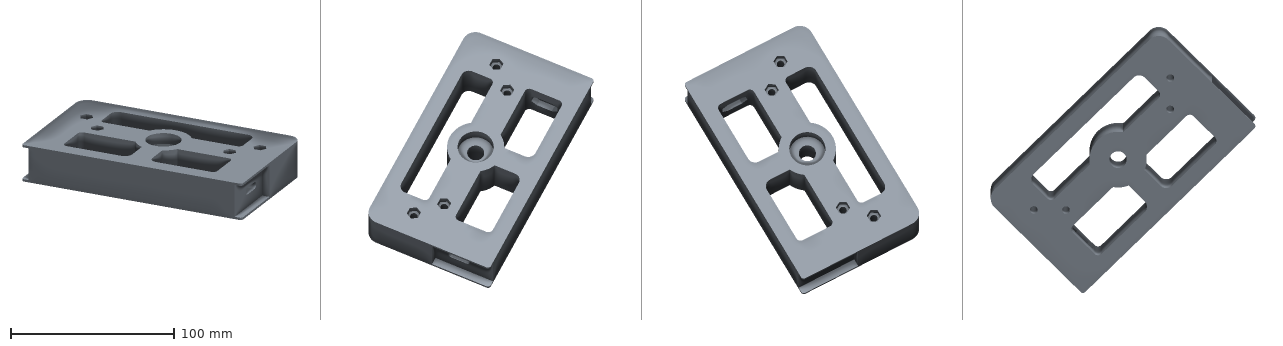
import cadquery as cq
import math

length = 150.0
depth = 85.0
height = 24.0
front_y = -45.0
back_y = front_y + depth
back_corner_radius = 8.1
front_corner_radius = 2.0

hub_radius = 17.5
bearing_radius = 11.1
bearing_depth = 7.0
shaft_radius = 5.2

crossbar_half_width = 10.0
rib_half_width = 6.9
back_window_half_length = 48.0
back_window_end_y = 30.0
front_window_end_x = 52.0
front_window_end_y = -35.0
large_window_radius = 5.0
small_window_radius = 3.0

nut_positions = [(45.0, 0.0), (59.0, 14.0)]
nut_across_corners = 8.7
nut_depth = 4.0
screw_diameter = 4.6

recess_depth = 5.0
recess_length = 39.0
flange_thickness = 1.5
slot_length = 14.5
slot_height = 4.5
slot_y = front_y + 23.1
slot_travel = slot_length - slot_height
nut_pocket_depth = nut_depth


def block(x_start, x_end, y_start, y_end, z_start=0.0, z_end=height):
    """Box given by its limits along each axis."""
    size = (x_end - x_start, y_end - y_start, z_end - z_start)
    return cq.Workplane("XY").box(*size, centered=False).translate((x_start, y_start, z_start))


def both_sides(shape):
    """The shape together with its mirror image about X = 0."""
    return shape.union(shape.mirror("YZ"))


def make_body():
    body = block(-length / 2, length / 2, front_y, back_y)
    body = body.edges("|Z and >Y").fillet(back_corner_radius)
    return body.edges("|Z and <Y").fillet(front_corner_radius)


def make_windows():
    back = block(-back_window_half_length, back_window_half_length, crossbar_half_width, back_window_end_y)
    back = back.edges("|Z and >Y").fillet(large_window_radius)
    back = back.edges("|Z and <Y").fillet(small_window_radius)

    front = block(rib_half_width, front_window_end_x, front_window_end_y, -crossbar_half_width)
    front = front.edges("|Z and >X").fillet(small_window_radius)
    front = front.edges("|Z and <X and <Y").fillet(large_window_radius)

    hub = cq.Workplane("XY").circle(hub_radius).extrude(height)
    return back.union(both_sides(front)).cut(hub)


def make_bearing_seat():
    shaft = cq.Workplane("XY").circle(shaft_radius).extrude(height)
    seat = cq.Workplane("XY", origin=(0, 0, height)).circle(bearing_radius).extrude(-bearing_depth)
    return shaft.union(seat)


def make_nut_traps():
    screws = cq.Workplane("XY").pushPoints(nut_positions).circle(screw_diameter / 2).extrude(height)
    top = cq.Workplane("XY", origin=(0, 0, height))
    nuts = top.pushPoints(nut_positions).polygon(6, nut_across_corners).extrude(-nut_depth)
    return both_sides(screws.union(nuts))


def make_sliding_nut_pockets():
    """Hexagon swept along the slot, sunk into the outer wall of each front window."""
    corner_z = nut_across_corners / 2
    flat_y = slot_travel / 2 + corner_z * math.cos(math.pi / 6)
    flat_z = corner_z / 2
    pocket = (
        cq.Workplane("YZ", origin=(front_window_end_x, slot_y, height / 2))
        .moveTo(-flat_y, -flat_z)
        .lineTo(-slot_travel / 2, -corner_z)
        .lineTo(slot_travel / 2, -corner_z)
        .lineTo(flat_y, -flat_z)
        .lineTo(flat_y, flat_z)
        .lineTo(slot_travel / 2, corner_z)
        .lineTo(-slot_travel / 2, corner_z)
        .lineTo(-flat_y, flat_z)
        .close()
        .extrude(nut_pocket_depth)
    )
    return both_sides(pocket)


def make_side_recesses():
    floor_x = length / 2 - recess_depth
    recess = block(
        floor_x, length / 2, front_y, front_y + recess_length, flange_thickness, height - flange_thickness
    )
    slot_plane = cq.Workplane("YZ", origin=(front_window_end_x, slot_y, height / 2))
    slot = slot_plane.slot2D(slot_length, slot_height).extrude(floor_x - front_window_end_x)
    return both_sides(recess.union(slot))


result = (
    make_body()
    .cut(make_windows())
    .cut(make_bearing_seat())
    .cut(make_nut_traps())
    .cut(make_side_recesses())
    .cut(make_sliding_nut_pockets())
)